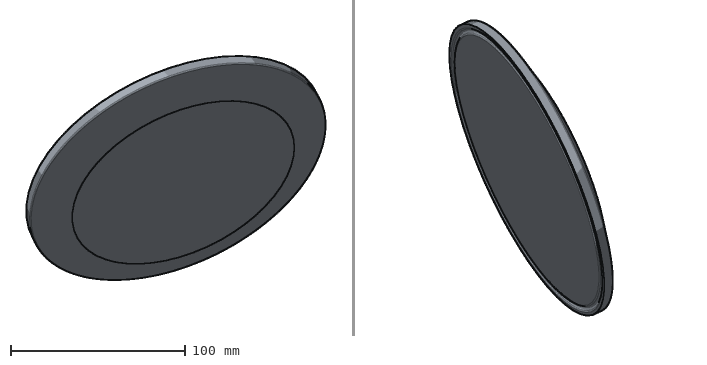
import cadquery as cq
import math

rim_radius = 91.5
thickness = 14.0
cone_end_radius = 68.6
cone_angle = math.radians(20)
rim_round_radius = 1.0

groove_radius = 87.1
floor_radius = 1.5
lip_radius = 1.1
wall_angle = math.radians(60)

rim_width = thickness - (rim_radius - cone_end_radius) * math.tan(cone_angle)


def make_disc():
    profile = (
        cq.Workplane("XY")
        .lineTo(0, rim_radius)
        .lineTo(rim_width, rim_radius)
        .lineTo(thickness, cone_end_radius)
        .lineTo(thickness, 0)
        .close()
    )
    disc = profile.revolve(360, (0, 0, 0), (1, 0, 0))
    back_rim_edge = disc.edges(cq.selectors.RadiusNthSelector(-1)).edges(">X")
    return back_rim_edge.fillet(rim_round_radius)


def make_groove():
    lip_offset = (floor_radius + lip_radius) * math.sin(wall_angle)
    meet_offset = floor_radius * math.sin(wall_angle)
    lip_middle_offset = lip_offset - lip_radius * math.sin(wall_angle / 2)
    meet_depth = lip_radius * (1 - math.cos(wall_angle))
    lip_middle_depth = lip_radius * (1 - math.cos(wall_angle / 2))
    floor_depth = meet_depth + floor_radius * (1 - math.cos(wall_angle))
    profile = (
        cq.Workplane("XY")
        .moveTo(0, groove_radius + lip_offset)
        .threePointArc(
            (lip_middle_depth, groove_radius + lip_middle_offset),
            (meet_depth, groove_radius + meet_offset),
        )
        .threePointArc(
            (floor_depth, groove_radius),
            (meet_depth, groove_radius - meet_offset),
        )
        .threePointArc(
            (lip_middle_depth, groove_radius - lip_middle_offset),
            (0, groove_radius - lip_offset),
        )
        .close()
    )
    return profile.revolve(360, (0, 0, 0), (1, 0, 0))


result = make_disc().cut(make_groove())